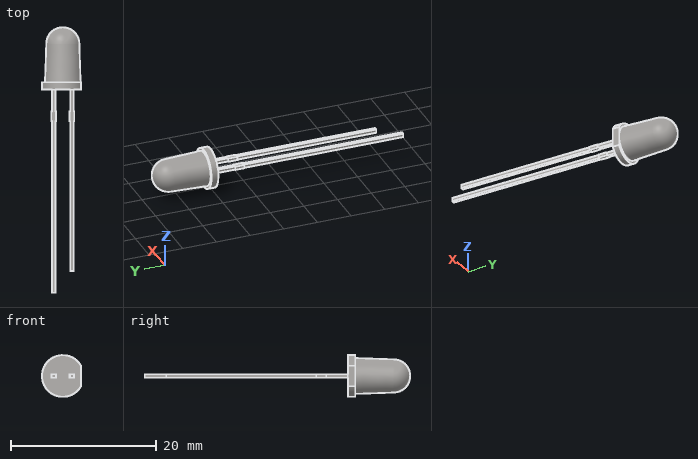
import cadquery as cq
import math


TOTAL_LENGTH = 36.6
LENS_LENGTH = 8.6

FLANGE_DIAMETER = 5.8
FLANGE_THICKNESS = 1.02
FLANGE_WIDTH_ACROSS_FLAT = 5.4

BARREL_BASE_RADIUS = 2.5
DOME_RADIUS = 2.3

LEAD_PITCH = 2.53
LEAD_THICKNESS = 0.5
SHORT_LEAD_SHORTFALL = 3.0

COLLAR_WIDTH = 0.7
COLLAR_LENGTH = 1.35
COLLAR_DISTANCE = 3.0

FLANGE_RADIUS = FLANGE_DIAMETER / 2
DOME_START_Y = LENS_LENGTH - DOME_RADIUS
LONG_LEAD_LENGTH = TOTAL_LENGTH - LENS_LENGTH
SHORT_LEAD_LENGTH = LONG_LEAD_LENGTH - SHORT_LEAD_SHORTFALL


def make_flange():
    """Disc around the Y axis with one flat on its +X side."""
    disc = cq.Workplane("XZ").circle(FLANGE_RADIUS).extrude(-FLANGE_THICKNESS)
    flat_side_block = cq.Workplane("XY").box(
        FLANGE_WIDTH_ACROSS_FLAT,
        FLANGE_THICKNESS,
        FLANGE_DIAMETER,
        centered=(False, False, True),
    )
    return disc.intersect(flat_side_block.translate((-FLANGE_RADIUS, 0, 0)))


def make_barrel():
    """Slightly tapered barrel that ends in a hemispherical dome."""
    diagonal = DOME_RADIUS * math.cos(math.pi / 4)
    return (
        cq.Workplane("YZ")
        .moveTo(FLANGE_THICKNESS, 0)
        .lineTo(FLANGE_THICKNESS, BARREL_BASE_RADIUS)
        .lineTo(DOME_START_Y, DOME_RADIUS)
        .threePointArc((DOME_START_Y + diagonal, diagonal), (LENS_LENGTH, 0))
        .close()
        .revolve(360, (0, 0, 0), (1, 0, 0))
    )


def make_lens():
    """Flange and domed barrel as one body."""
    return make_flange().union(make_barrel())


def make_lead(x, length):
    """Square lead running toward -Y from the flange, with a wider collar near the flange."""
    wire = cq.Workplane("XZ").center(x, 0).rect(LEAD_THICKNESS, LEAD_THICKNESS).extrude(length)
    collar = (
        cq.Workplane("XZ", origin=(x, -COLLAR_DISTANCE, 0))
        .rect(COLLAR_WIDTH, LEAD_THICKNESS)
        .extrude(COLLAR_LENGTH)
    )
    return wire.union(collar)


lens = make_lens()

LEADS = [
    (-LEAD_PITCH / 2, LONG_LEAD_LENGTH),
    (LEAD_PITCH / 2, SHORT_LEAD_LENGTH),
]
leads = [make_lead(x, length) for x, length in LEADS]

result = cq.Compound.makeCompound([lens.val(), *[lead.val() for lead in leads]])